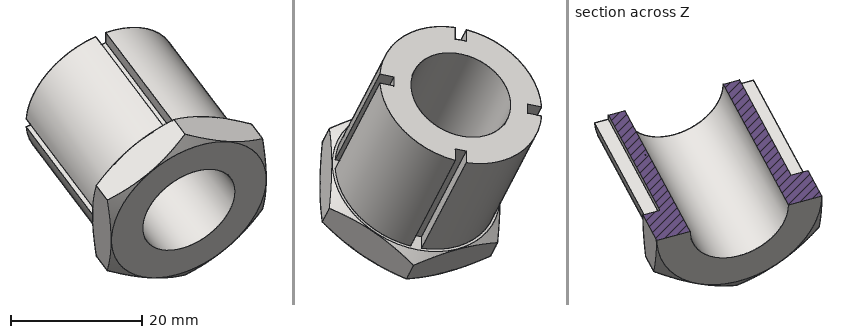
import cadquery as cq
import math

total_length = 28.0
head_length = 6.0
hex_corner_diameter = 31.18
sleeve_diameter = 26.0
bore_diameter = 16.0
groove_width = 1.75
groove_floor_radius = 10.73
groove_count = 4
chamfer_angle = 30.0
head_face_radius = 13.45

sleeve_length = total_length - head_length
hex_corner_radius = hex_corner_diameter / 2
sleeve_radius = sleeve_diameter / 2


def make_head():
    """Hexagon with corners on +Z and -Z, bevelled conically at both ends."""
    corners = []
    for index in range(6):
        angle = math.radians(90 + 60 * index)
        corners.append((hex_corner_radius * math.cos(angle), hex_corner_radius * math.sin(angle)))
    prism = cq.Workplane("YZ", origin=(sleeve_length, 0, 0)).polyline(corners).close().extrude(head_length)

    bevel_length = (hex_corner_radius - head_face_radius) * math.tan(math.radians(chamfer_angle))
    bevel_envelope = (
        cq.Workplane("XY")
        .moveTo(sleeve_length, 0)
        .lineTo(sleeve_length, head_face_radius)
        .lineTo(sleeve_length + bevel_length, hex_corner_radius)
        .lineTo(total_length - bevel_length, hex_corner_radius)
        .lineTo(total_length, head_face_radius)
        .lineTo(total_length, 0)
        .close()
        .revolve(360, (0, 0, 0), (1, 0, 0))
    )
    return prism.intersect(bevel_envelope)


def make_sleeve():
    """Cylinder with lengthwise grooves that stop at the head."""
    sleeve = cq.Workplane("YZ").circle(sleeve_radius).extrude(sleeve_length)
    groove = cq.Workplane("XY").box(
        sleeve_length, groove_width, sleeve_radius, centered=(False, True, False)
    ).translate((0, 0, groove_floor_radius))
    for index in range(groove_count):
        sleeve = sleeve.cut(groove.rotate((0, 0, 0), (1, 0, 0), index * 360 / groove_count))
    return sleeve


bore = cq.Workplane("YZ").circle(bore_diameter / 2).extrude(total_length)

result = make_sleeve().union(make_head()).cut(bore)